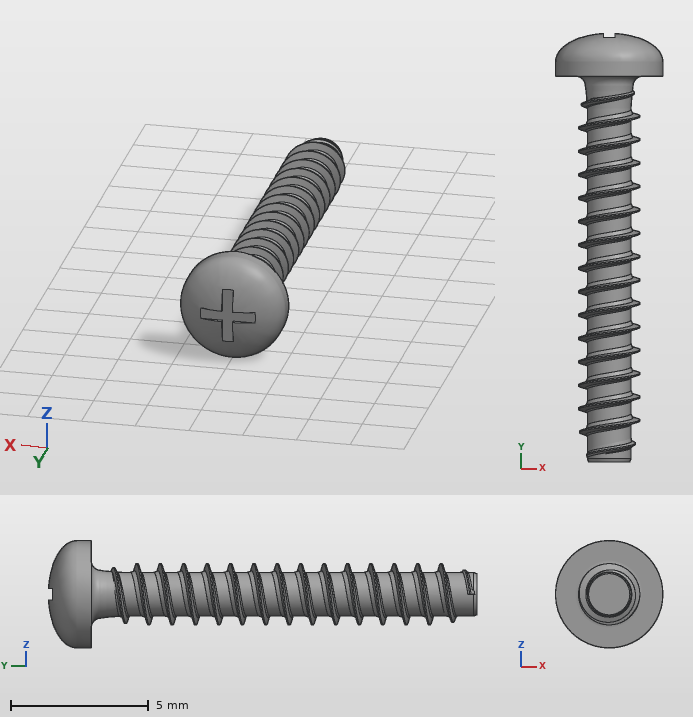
import cadquery as cq
import math


head_diameter = 3.9
head_radius = head_diameter / 2
head_rim_height = 0.53
dome_rise = 1.05
rim_fillet = 0.03
crown_y = head_rim_height + dome_rise

recess_width = 0.4
recess_depth = 0.15
corner_radius = recess_width / math.sqrt(2)
head_height = head_rim_height + dome_rise * math.sqrt(1 - (corner_radius / head_radius) ** 2)

overall_length = 15.56
shank_length = overall_length - head_height
neck_fillet = 0.35
neck_radius = 0.87
neck_end_radius = 0.84
neck_length = 0.56
neck_cone_length = 0.62
core_radius = 0.8
tip_radius = 0.75
tip_cone_length = 0.12

crest_diameter = 2.23
crest_radius = crest_diameter / 2
crest_half_width = 0.023
knee_radius = 0.85
knee_half_width = 0.1
head_side_foot_width = 0.26
tip_side_foot_width = 0.15
buried_radius = 0.62
foot_overlap = 0.008
foot_radius = core_radius - foot_overlap
full_crest_y = -1.45
crest_span = 11.89
crest_span_turns = 14
pitch = crest_span / crest_span_turns

start_turn = -1.5
full_from_turn = 0.0
full_to_turn = 13.4
end_turn = 14.5
end_height_factor = 0.1
faces_per_turn = 2
points_per_edge = 8


def make_head_and_shank():
    """Domed head, filleted neck and plain core, revolved about Y."""
    diagonal = math.sqrt(0.5)
    fillet_mid = (
        neck_radius + neck_fillet * (1 - diagonal),
        -neck_fillet * (1 - diagonal),
    )
    outline = (
        cq.Workplane("XY")
        .moveTo(0, -shank_length)
        .lineTo(tip_radius, -shank_length)
        .lineTo(core_radius, -shank_length + tip_cone_length)
        .lineTo(core_radius, -neck_length - neck_cone_length)
        .lineTo(neck_end_radius, -neck_length)
        .lineTo(neck_radius, -neck_fillet)
        .threePointArc(fillet_mid, (neck_radius + neck_fillet, 0))
        .lineTo(head_radius - rim_fillet, 0)
        .radiusArc((head_radius, rim_fillet), -rim_fillet)
        .lineTo(head_radius, head_rim_height)
        .ellipseArc(head_radius, dome_rise, 0, 90, sense=1, startAtCurrent=True)
        .close()
    )
    return outline.revolve(360, (0, 0, 0), (0, 1, 0))


def make_cross_recess():
    """Two crossed slots with a flat floor, running out where the dome drops below it."""
    slot_length = 2 * head_radius
    floor_offset = crown_y - recess_depth / 2
    along_x = cq.Workplane("XY").box(slot_length, recess_depth, recess_width)
    along_z = cq.Workplane("XY").box(recess_width, recess_depth, slot_length)
    return along_x.union(along_z).translate((0, floor_offset, 0))


def thread_height_factor(turn):
    """Share of the full thread height: 1 along the middle, fading towards both ends."""
    fade_in = (turn - start_turn) / (full_from_turn - start_turn)
    fade_out = (end_turn - turn) / (end_turn - full_to_turn)
    share = min(1, fade_in, fade_out)
    return end_height_factor + (1 - end_height_factor) * share


def thread_point(turn, full_radius, axial_offset):
    """Point on a right-hand helix; radii outside the buried base follow the thread height."""
    radius = full_radius
    if full_radius > buried_radius:
        radius = foot_radius + (full_radius - foot_radius) * thread_height_factor(turn)
    angle = 2 * math.pi * turn
    return cq.Vector(
        radius * math.cos(angle),
        full_crest_y - pitch * turn + axial_offset,
        radius * math.sin(angle),
    )


def thread_edge(first_turn, last_turn, full_radius, axial_offset):
    """Smooth curve along the helix through one profile corner."""
    points = []
    for step in range(points_per_edge + 1):
        turn = first_turn + (last_turn - first_turn) * step / points_per_edge
        points.append(thread_point(turn, full_radius, axial_offset))
    return cq.Edge.makeSpline(points)


def make_thread():
    """Solid thread with ruled flanks; its base is buried in the core."""
    profile = [
        (buried_radius, -tip_side_foot_width),
        (foot_radius, -tip_side_foot_width),
        (knee_radius, -knee_half_width),
        (crest_radius, -crest_half_width),
        (crest_radius, crest_half_width),
        (knee_radius, knee_half_width),
        (foot_radius, head_side_foot_width),
        (buried_radius, head_side_foot_width),
    ]
    pairs = list(zip(profile, profile[1:] + profile[:1]))
    face_count = round((end_turn - start_turn) * faces_per_turn)
    stations = [start_turn + index / faces_per_turn for index in range(face_count + 1)]
    faces = []
    for first_turn, last_turn in zip(stations, stations[1:]):
        for point, next_point in pairs:
            faces.append(
                cq.Face.makeRuledSurface(
                    thread_edge(first_turn, last_turn, *point),
                    thread_edge(first_turn, last_turn, *next_point),
                )
            )
    for turn in (start_turn, end_turn):
        corners = [thread_point(turn, *point) for point in profile]
        faces.append(cq.Face.makeFromWires(cq.Wire.makePolygon(corners, close=True)))
    return cq.Solid.makeSolid(cq.Shell.makeShell(faces))


head_and_shank = make_head_and_shank().cut(make_cross_recess())
result = head_and_shank.union(cq.Workplane(obj=make_thread()))